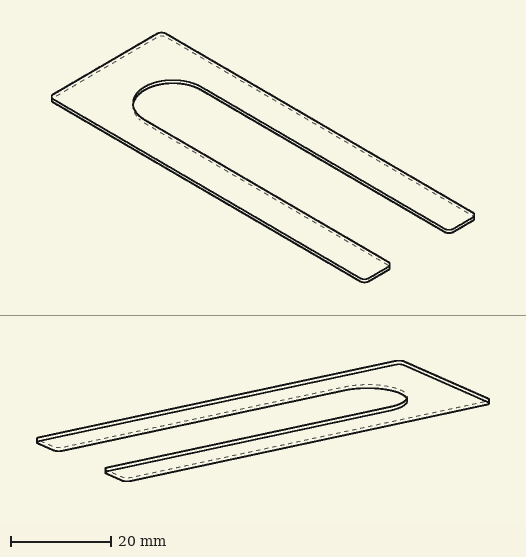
import cadquery as cq

length = 88.9
width = 31.7
thickness = 0.81
corner_radius = 1.25

slot_width = 15.9
web_length = 11.1
slot_radius = slot_width / 2
slot_center_x = web_length + slot_radius

plate = cq.Workplane("XY").box(length, width, thickness, centered=(False, True, False))
slot_end = cq.Workplane("XY").center(slot_center_x, 0).circle(slot_radius).extrude(thickness)
slot_run = (
    cq.Workplane("XY")
    .center(slot_center_x, 0)
    .box(length - slot_center_x, slot_width, thickness, centered=(False, True, False))
)
fork = plate.cut(slot_end.union(slot_run))

result = fork.edges("|Z and (<X or >X)").fillet(corner_radius)